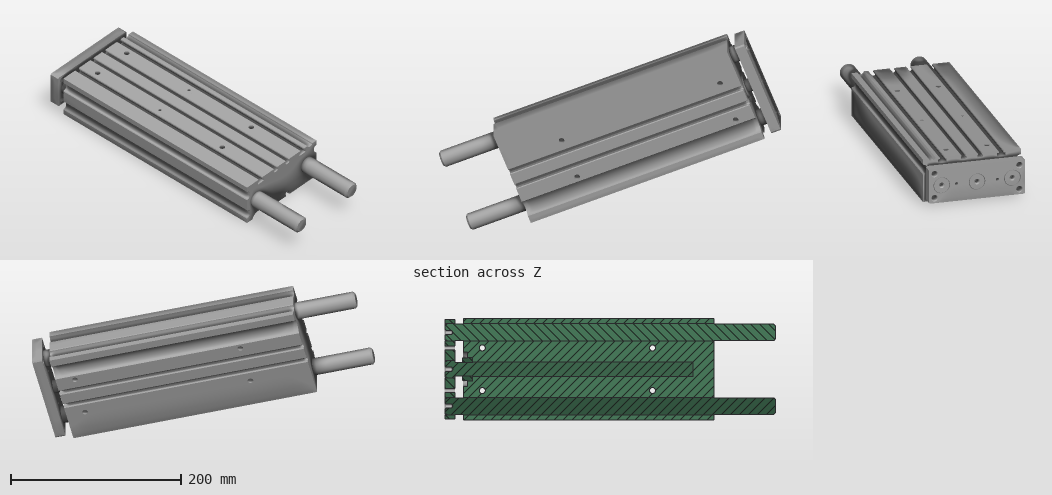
import cadquery as cq
import math


total_length = 388.0
housing_width = 120.0
housing_height = 54.0
housing_length = 294.5
plate_thickness = 12.0
plate_gap = 9.5
housing_front = plate_thickness + plate_gap
half_width = housing_width / 2
half_height = housing_height / 2

plate_width = 118.0
plate_height = 43.0
plate_chamfer_y = 2.0
plate_chamfer_z = 1.0
corner_hole_diameter = 6.5
corner_hole_mouth_diameter = 8.0
corner_hole_mouth_angle = 90.0
corner_hole_spacing_y = 104.0
corner_hole_spacing_z = 30.3

guide_rod_diameter = 20.0
guide_rod_spacing = 86.5
guide_rod_rear_chamfer = 2.5
rod_nose_diameter = 18.5
rod_nose_length = 2.0
piston_rod_diameter = 16.0
piston_seat_diameter = guide_rod_diameter
piston_rod_end = 291.0
collar_diameter = 27.5
collar_protrusion = 1.0
collar_length = 12.0
recess_diameter = 39.5
recess_depth = 4.5
collar_start = housing_front - collar_protrusion
collar_end = collar_start + collar_length
rod_center_hole_diameter = 4.3
rod_center_hole_mouth_diameter = 7.0
rod_center_hole_depth = 7.8
drill_point_angle = 118.0

mounting_row_spacing = 50.0
mounting_pitch = 200.0
first_mounting_x = 44.0
mounting_hole_diameter = 6.5
dowel_diameter = 4.0
dowel_depth = 6.0

t_slot_offset = 36.0
t_slot_mouth = 6.0
t_slot_width = 10.5
t_slot_lip = 2.5
t_slot_depth = 6.5

sensor_slot_offset = 10.0
sensor_slot_mouth = 5.0
sensor_slot_width = 6.5
sensor_slot_lip = 2.0
sensor_slot_depth = 6.0
sensor_slot_floor_chamfer = 1.0

mouth_bevel = 0.8

side_groove_center_z = 14.0
side_groove_width = 11.3
side_groove_depth = 4.5
side_groove_corner_radius = 3.5

strip_drop = 0.8
edge_groove_outer_y = 52.8
edge_groove_wall_y = 52.5
edge_groove_wall_depth = 2.0
edge_groove_floor_outer_y = 49.5
edge_groove_floor_inner_y = 49.0
edge_groove_inner_y = 46.5
edge_groove_depth = 3.5
edge_groove_inner_depth = 2.9
strip_end_y = 44.2

channel_center_y = -40.7
channel_mouth = 19.8
channel_depth = 7.0


def rod_along_x(diameter, start, end, y=0.0):
    """Cylinder parallel to X at height Z = 0."""
    return cq.Workplane("YZ", origin=(start, y, 0)).circle(diameter / 2).extrude(end - start)


def along_housing(profile):
    """Extrude a YZ profile over the full housing length."""
    return profile.extrude(housing_length)


def housing_section():
    return cq.Workplane("YZ", origin=(housing_front, 0, 0))


def undercut_slot(y, mouth, width, lip, depth, floor_chamfer=0.0):
    """Slot in the top face with a bevelled mouth and a wider part below the lip."""
    half_profile = [
        (mouth / 2 + mouth_bevel, 0.0),
        (mouth / 2, mouth_bevel),
        (mouth / 2, lip),
        (width / 2, lip),
    ]
    if floor_chamfer > 0:
        half_profile.append((width / 2, depth - floor_chamfer))
    half_profile.append((width / 2 - floor_chamfer, depth))
    right_side = [(y + offset, half_height - down) for offset, down in half_profile]
    left_side = [(y - offset, half_height - down) for offset, down in reversed(half_profile)]
    return along_housing(housing_section().polyline(right_side + left_side).close())


def t_slot(y):
    return undercut_slot(y, t_slot_mouth, t_slot_width, t_slot_lip, t_slot_depth)


def sensor_slot(y):
    return undercut_slot(
        y,
        sensor_slot_mouth,
        sensor_slot_width,
        sensor_slot_lip,
        sensor_slot_depth,
        sensor_slot_floor_chamfer,
    )


def side_groove(z):
    """Groove in the -Y side face with a bevelled mouth and rounded floor corners."""
    half_groove = side_groove_width / 2
    radius = side_groove_corner_radius
    face_y = -half_width
    floor_y = face_y + side_groove_depth
    profile = (
        housing_section()
        .moveTo(face_y, z - half_groove - mouth_bevel)
        .lineTo(face_y + mouth_bevel, z - half_groove)
        .lineTo(floor_y - radius, z - half_groove)
        .radiusArc((floor_y, z - half_groove + radius), -radius)
        .lineTo(floor_y, z + half_groove - radius)
        .radiusArc((floor_y - radius, z + half_groove), -radius)
        .lineTo(face_y + mouth_bevel, z + half_groove)
        .lineTo(face_y, z + half_groove + mouth_bevel)
        .close()
    )
    return along_housing(profile)


def edge_strip():
    """Prism that, cut away, leaves the lowered strip and its shallow groove."""
    strip_z = half_height - strip_drop
    profile = (
        housing_section()
        .moveTo(half_width, half_height)
        .lineTo(half_width, strip_z)
        .lineTo(edge_groove_outer_y, strip_z)
        .lineTo(edge_groove_wall_y, half_height - edge_groove_wall_depth)
        .lineTo(edge_groove_floor_outer_y, half_height - edge_groove_depth)
        .lineTo(edge_groove_floor_inner_y, half_height - edge_groove_depth)
        .lineTo(edge_groove_inner_y, half_height - edge_groove_inner_depth)
        .lineTo(strip_end_y, half_height)
        .close()
    )
    return along_housing(profile)


def bottom_channel():
    half_mouth = channel_mouth / 2
    profile = (
        housing_section()
        .moveTo(channel_center_y - half_mouth, -half_height)
        .threePointArc(
            (channel_center_y, -half_height + channel_depth),
            (channel_center_y + half_mouth, -half_height),
        )
        .close()
    )
    return along_housing(profile)


def vertical_holes(points, diameter, depth):
    """Holes going down from the top face."""
    top = cq.Workplane("XY", origin=(0, 0, half_height))
    return top.pushPoints(points).circle(diameter / 2).extrude(-depth)


def make_housing():
    body = along_housing(housing_section().rect(housing_width, housing_height))

    for side in (-1, 1):
        body = body.cut(t_slot(side * t_slot_offset))
        top_slot = sensor_slot(side * sensor_slot_offset)
        body = body.cut(top_slot).cut(top_slot.mirror("XY"))
        body = body.cut(side_groove(side * side_groove_center_z))
    body = body.cut(side_groove(side_groove_center_z).mirror("XZ"))
    body = body.cut(edge_strip()).cut(bottom_channel())

    rows = [side * mounting_row_spacing / 2 for side in (-1, 1)]
    mounting_points = [(first_mounting_x + i * mounting_pitch, y) for i in range(2) for y in rows]
    dowel_points = [(first_mounting_x + mounting_pitch / 2, y) for y in rows]
    body = body.cut(vertical_holes(mounting_points, mounting_hole_diameter, housing_height))
    body = body.cut(vertical_holes(dowel_points, dowel_diameter, dowel_depth))

    housing_rear = housing_front + housing_length
    for side in (-1, 1):
        y = side * guide_rod_spacing / 2
        body = body.cut(rod_along_x(guide_rod_diameter, housing_front, housing_rear, y))
    body = body.cut(rod_along_x(piston_rod_diameter, housing_front, piston_rod_end))
    body = body.cut(rod_along_x(recess_diameter, housing_front, housing_front + recess_depth))
    return body.cut(rod_along_x(collar_diameter, housing_front, collar_end))


def make_plate():
    half_plate_y = plate_width / 2
    half_plate_z = plate_height / 2
    plate = (
        cq.Workplane("YZ")
        .polyline([
            (half_plate_y, half_plate_z - plate_chamfer_z),
            (half_plate_y - plate_chamfer_y, half_plate_z),
            (-half_plate_y + plate_chamfer_y, half_plate_z),
            (-half_plate_y, half_plate_z - plate_chamfer_z),
            (-half_plate_y, -half_plate_z + plate_chamfer_z),
            (-half_plate_y + plate_chamfer_y, -half_plate_z),
            (half_plate_y - plate_chamfer_y, -half_plate_z),
            (half_plate_y, -half_plate_z + plate_chamfer_z),
        ])
        .close()
        .extrude(plate_thickness)
    )
    plate = (
        plate.faces("<X")
        .workplane(origin=(0, 0, 0))
        .rect(corner_hole_spacing_y, corner_hole_spacing_z, forConstruction=True)
        .vertices()
        .cskHole(corner_hole_diameter, corner_hole_mouth_diameter, corner_hole_mouth_angle)
    )
    for side in (-1, 1):
        plate = plate.cut(
            rod_along_x(dowel_diameter, 0, plate_thickness, side * mounting_row_spacing / 2)
        )
        plate = plate.cut(
            rod_along_x(guide_rod_diameter, 0, plate_thickness, side * guide_rod_spacing / 2)
        )
    return plate.cut(rod_along_x(piston_seat_diameter, 0, plate_thickness))


def rod_center_hole(y):
    """Drilled hole with a countersunk mouth and a conical bottom in the front end of a rod."""
    radius = rod_center_hole_diameter / 2
    mouth_radius = rod_center_hole_mouth_diameter / 2
    point_length = radius / math.tan(math.radians(drill_point_angle / 2))
    return (
        cq.Workplane("XY", origin=(0, y, 0))
        .polyline([
            (0, 0),
            (0, mouth_radius),
            (mouth_radius - radius, radius),
            (rod_center_hole_depth, radius),
            (rod_center_hole_depth + point_length, 0),
        ])
        .close()
        .revolve(360, (0, 0, 0), (1, 0, 0))
    )


def rod_nose(y):
    """Narrower front end of a rod, which leaves a ring-shaped gap in the plate."""
    return rod_along_x(rod_nose_diameter, 0, rod_nose_length, y)


def make_guide_rod(y):
    rod = rod_along_x(guide_rod_diameter, rod_nose_length, total_length, y)
    rod = rod.faces(">X").edges().chamfer(guide_rod_rear_chamfer)
    return rod.union(rod_nose(y)).cut(rod_center_hole(y))


def make_piston_rod():
    seat = rod_along_x(piston_seat_diameter, rod_nose_length, plate_thickness)
    shaft = rod_along_x(piston_rod_diameter, plate_thickness, piston_rod_end)
    return seat.union(shaft).union(rod_nose(0)).cut(rod_center_hole(0))


def make_collar():
    ring = rod_along_x(collar_diameter, collar_start, collar_end)
    return ring.cut(rod_along_x(piston_rod_diameter, collar_start, collar_end))


housing = make_housing()
plate = make_plate()
guide_rods = [make_guide_rod(side * guide_rod_spacing / 2) for side in (-1, 1)]
piston_rod = make_piston_rod()
collar = make_collar()

result = cq.Compound.makeCompound([
    housing.val(),
    plate.val(),
    *[rod.val() for rod in guide_rods],
    piston_rod.val(),
    collar.val(),
])